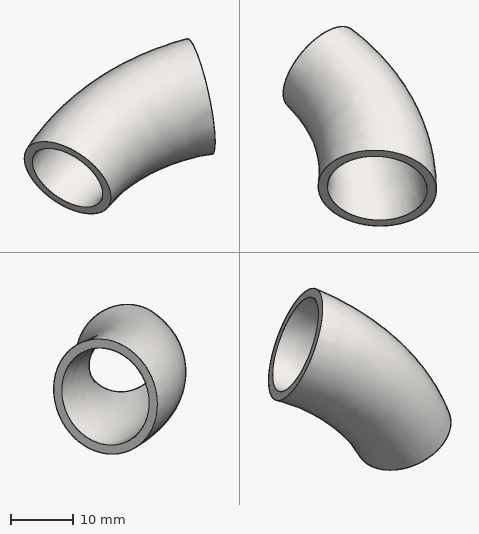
import cadquery as cq
import math

bend_radius = 35.0
bend_angle = 45.0
inlet_diameter = 16.0
outlet_diameter = 19.0
wall = 1.5


def centre_line_point(angle):
    """Point on the bend, which starts at the origin along +Y and turns toward +X."""
    turn = math.radians(angle)
    return (bend_radius * (1 - math.cos(turn)), bend_radius * math.sin(turn))


def end_plane(angle):
    """Plane square to the centre line at the given bend angle."""
    turn = math.radians(angle)
    x, y = centre_line_point(angle)
    return cq.Plane(origin=(x, y, 0), xDir=(0, 0, 1), normal=(math.sin(turn), math.cos(turn), 0))


def tapered_bend(start_diameter, end_diameter):
    """Solid round bend that changes evenly from one diameter to the other."""
    path = cq.Workplane("XY").threePointArc(
        centre_line_point(bend_angle / 2), centre_line_point(bend_angle)
    )
    start = cq.Workplane(end_plane(0)).circle(start_diameter / 2).wires().val()
    end = cq.Workplane(end_plane(bend_angle)).circle(end_diameter / 2).wires().val()
    return cq.Workplane("XY").add(cq.Solid.sweep_multi([start, end], path.wire().val()))


outer = tapered_bend(inlet_diameter, outlet_diameter)
bore = tapered_bend(inlet_diameter - 2 * wall, outlet_diameter - 2 * wall)

result = outer.cut(bore)